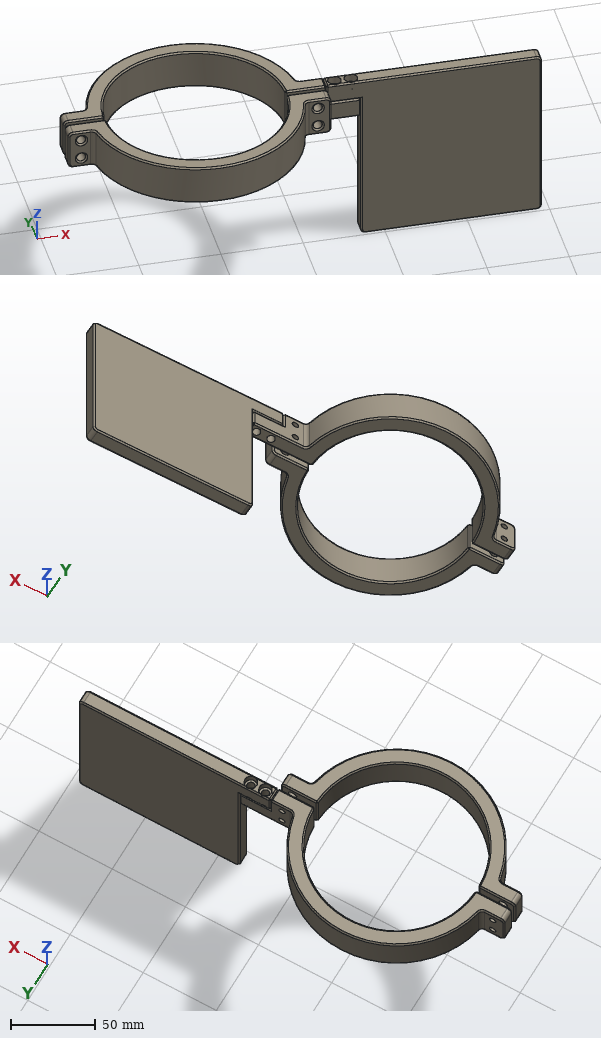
import cadquery as cq
import math

ring_outer_radius = 65.0
ring_inner_radius = 55.0
ring_height = 25.0
ear_end_x = 80.0
ear_thickness = 9.5
half_gap = 1.5
root_fillet = 3.0
corner_radius = 3.0
edge_chamfer = 1.0

ear_clearance_diameter = 5.5
ear_thread_diameter = 4.2
ear_screw_x = 72.0

plate_size = 110.0
joint_length = 21.0
joint_screw_first = 6.0
joint_screw_count = 2
joint_screw_pitch = 10.0
joint_screw_diameter = 5.0
joint_head_diameter = 8.0
joint_head_depth = 5.0

ear_outer_y = half_gap + ear_thickness
ear_mid_y = half_gap + ear_thickness / 2
ear_screw_z = (-ring_height / 4, -3 * ring_height / 4)
lap_z = -ring_height / 2
plate_left = ear_end_x + joint_length
plate_right = plate_left + plate_size
joint_screw_x = [ear_end_x + joint_screw_first + i * joint_screw_pitch for i in range(joint_screw_count)]


def box(x0, x1, y0, y1, z0, z1):
    """Rectangular block between the given limits."""
    return cq.Workplane("XY").box(x1 - x0, y1 - y0, z1 - z0, centered=False).translate((x0, y0, z0))


def drill(body, diameter, place, direction, depth=ring_height):
    """Cut a round hole from the given place along the direction."""
    cutter = cq.Solid.makeCylinder(diameter / 2, depth, cq.Vector(*place), cq.Vector(*direction))
    return body.cut(cq.Workplane(cutter))


def half_clamp():
    """Half ring on the +Y side with an ear at each end."""
    bottom = -ring_height
    ring = cq.Workplane("XY").workplane(offset=bottom).circle(ring_outer_radius).extrude(ring_height)
    ears = box(-ear_end_x, ear_end_x, half_gap, ear_outer_y, bottom, 0)
    body = ring.union(ears).intersect(
        box(-ear_end_x, ear_end_x, half_gap, ring_outer_radius, bottom, 0)
    )
    root_x = math.sqrt(ring_outer_radius**2 - ear_outer_y**2)
    for side in (-1, 1):
        body = body.edges(cq.NearestToPointSelector((side * root_x, ear_outer_y, lap_z))).fillet(root_fillet)
    return body.cut(cq.Workplane("XY").workplane(offset=bottom).circle(ring_inner_radius).extrude(ring_height))


def drill_ears(body, diameter, mouth_chamfer=0):
    """Two screw holes through each ear, optionally chamfered at the outer face."""
    radius = diameter / 2
    inward = (0, -1, 0)
    for x in (-ear_screw_x, ear_screw_x):
        for z in ear_screw_z:
            place = (x, ear_outer_y, z)
            body = drill(body, diameter, place, inward)
            if mouth_chamfer > 0:
                mouth = cq.Solid.makeCone(
                    radius + mouth_chamfer, radius, mouth_chamfer, cq.Vector(*place), cq.Vector(*inward)
                )
                body = body.cut(cq.Workplane(mouth))
    return body


def drill_joint(body, diameter, top_z, depth=ring_height):
    """The row of vertical screw holes in the lap joint."""
    for x in joint_screw_x:
        body = drill(body, diameter, (x, ear_mid_y, top_z), (0, 0, -1), depth)
    return body


def lap_corner_edges(body, corners):
    """Edges along Y at the given (x, z) corners of the lap joint."""
    return [
        edge
        for x, z in corners
        for edge in body.edges("|Y").edges(cq.NearestToPointSelector((x, ear_mid_y, z))).vals()
    ]


def sharp_clamp_edges(body):
    """Outline edges of a clamp half, leaving out the smooth joins of its root and corner fillets."""
    outlines = body.edges("not (|Y or |Z)").vals()
    uprights = body.edges("|Z").vals()
    sharp_uprights = [
        edge
        for edge in uprights
        if abs(edge.Center().x) > ear_screw_x or edge.Center().y < ear_mid_y
    ]
    return outlines + sharp_uprights


def make_front_clamp():
    """Clamp half on the -Y side with two plain ears."""
    body = half_clamp()
    body = body.edges("|Y and (<X or >X)").fillet(corner_radius)
    body = body.newObject(sharp_clamp_edges(body)).chamfer(edge_chamfer)
    body = drill_ears(body, ear_clearance_diameter, edge_chamfer)
    return body.mirror("XZ")


def make_rear_clamp():
    """Clamp half on the +Y side with a half-height tongue on its right ear."""
    tongue = box(ring_outer_radius, plate_left, half_gap, ear_outer_y, -ring_height, lap_z)
    body = half_clamp().union(tongue)
    body = body.edges("|Y and <X").fillet(corner_radius)
    lap = lap_corner_edges(body, [(ear_end_x, 0), (plate_left, lap_z), (plate_left, -ring_height)])
    body = body.newObject(sharp_clamp_edges(body) + lap).chamfer(edge_chamfer)
    body = drill_ears(body, ear_thread_diameter)
    return drill_joint(body, joint_screw_diameter, lap_z)


def make_plate():
    """Square plate with a half-height tab that lies on the rear clamp's tongue."""
    body = box(plate_left, plate_right, half_gap, ear_outer_y, -plate_size, 0)
    body = body.union(box(ear_end_x, plate_left, half_gap, ear_outer_y, lap_z, 0))
    body = body.edges("|Y and (>X or <Z)").fillet(corner_radius)
    lap = lap_corner_edges(body, [(ear_end_x, 0), (ear_end_x, lap_z)])
    outlines = body.faces("<Y or >Y").edges().vals()
    body = body.newObject(outlines + lap).chamfer(edge_chamfer)
    body = drill_joint(body, joint_screw_diameter, 0)
    return drill_joint(body, joint_head_diameter, 0, joint_head_depth)


front_clamp = make_front_clamp()
rear_clamp = make_rear_clamp()
plate = make_plate()

result = cq.Compound.makeCompound([front_clamp.val(), rear_clamp.val(), plate.val()])